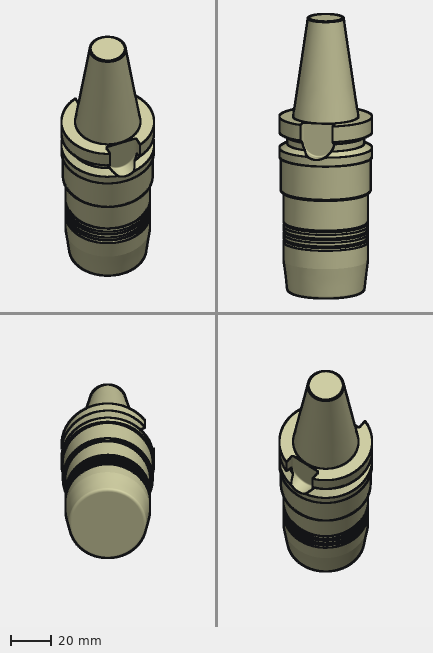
import cadquery as cq

total_length = 138.4

taper_ratio = 7 / 24
taper_base_radius = 16.2
taper_end_chamfer = 0.4

flange_radius = 23.0
flange_top_z = 88.3
flange_lower_edge_z = 80.4
groove_radius = 19.1
groove_top_z = 78.3
groove_bottom_z = 74.7
collar_upper_edge_z = 72.5
collar_bottom_z = 68.0

body_radius = 22.3
body_bottom_z = 50.2
body_chamfer = 0.8

nut_diameter = 42.0
nut_radius = nut_diameter / 2
nut_taper_top_z = 15.5
nose_radius = 19.1
nose_round = 1.5
v_groove_top_center_z = 34.0
v_groove_pitch = 4.0
v_groove_count = 3
v_groove_half_width = 1.1
v_groove_depth = 0.8

slot_width = 16.2
slot_floor_x = 16.5
slot_bottom_z = 71.3
slot_floor_fillet = 0.7


def make_shank():
    """Revolve the taper, flange, body and nut as one solid."""
    taper_length = total_length - flange_top_z
    taper_end_radius = taper_base_radius - taper_length * taper_ratio / 2
    chamfer_start_radius = taper_end_radius + taper_end_chamfer * taper_ratio / 2
    profile = [
        (0, total_length),
        (taper_end_radius - taper_end_chamfer, total_length),
        (chamfer_start_radius, total_length - taper_end_chamfer),
        (taper_base_radius, flange_top_z),
        (flange_radius, flange_top_z),
        (flange_radius, flange_lower_edge_z),
        (groove_radius, groove_top_z),
        (groove_radius, groove_bottom_z),
        (flange_radius, collar_upper_edge_z),
        (flange_radius, collar_bottom_z),
        (body_radius, collar_bottom_z),
        (body_radius, body_bottom_z + body_chamfer),
        (body_radius - body_chamfer, body_bottom_z),
        (nut_radius, body_bottom_z),
        (nut_radius, nut_taper_top_z),
        (nose_radius, 0),
        (0, 0),
    ]
    shank = cq.Workplane("XZ").polyline(profile).close().revolve(360, (0, 0), (0, 1))
    return shank.faces("<Z").edges().fillet(nose_round)


def make_v_groove(center_z):
    """Ring with a V section that cuts one grip groove around the nut."""
    section = [
        (nut_radius, center_z + v_groove_half_width),
        (nut_radius - v_groove_depth, center_z),
        (nut_radius, center_z - v_groove_half_width),
    ]
    return cq.Workplane("XZ").polyline(section).close().revolve(360, (0, 0), (0, 1))


def make_slot(side):
    """Round-bottomed drive slot cutter on the +X (side = 1) or -X (side = -1) side."""
    half_width = slot_width / 2
    arc_center_z = slot_bottom_z + half_width
    depth = flange_radius - slot_floor_x
    clearance = 1.4
    cutter = (
        cq.Workplane("YZ", origin=(side * slot_floor_x, 0, 0))
        .moveTo(-half_width, flange_top_z)
        .lineTo(-half_width, arc_center_z)
        .threePointArc((0, slot_bottom_z), (half_width, arc_center_z))
        .lineTo(half_width, flange_top_z)
        .close()
        .extrude(side * (depth + clearance))
    )
    floor = "<X" if side > 0 else ">X"
    return cutter.faces(floor).edges("not(>Z)").fillet(slot_floor_fillet)


result = make_shank()
for index in range(v_groove_count):
    result = result.cut(make_v_groove(v_groove_top_center_z - index * v_groove_pitch))
for side in (1, -1):
    result = result.cut(make_slot(side))